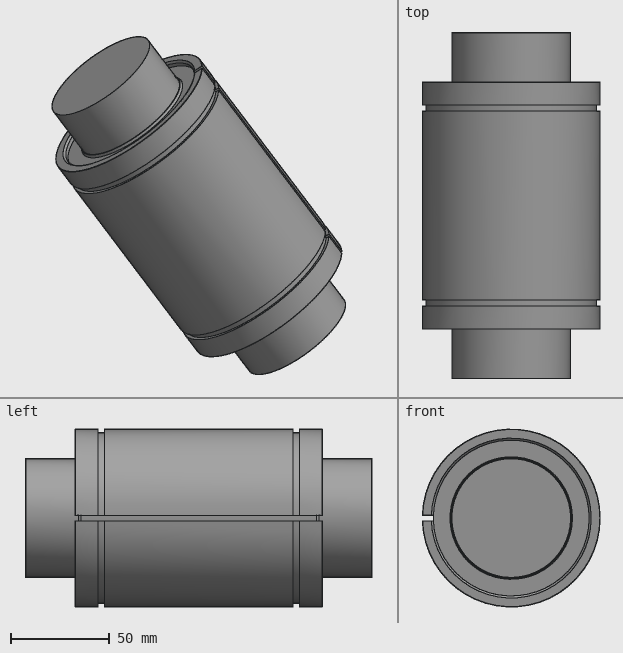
import cadquery as cq

shaft_length = 175
shaft_radius = 60.0 / 2

sleeve_length = 125.0
sleeve_radius = 90.0 / 2
sleeve_chamfer = 0.2
bore_radius = 39.4
mouth_chamfer = 1.0

groove_radius = 86.5 / 2
groove_width = 3.2
groove_span = 101.7

slit_width = 2.8

seal_depth = 3.0
lip_base_radius = 31.0
lip_tip_radius = 30.5
lip_height = 1.4


def revolve_mirrored(half_outline):
    """Turn about Y an outline given as (radius, y) points from the +Y end; the -Y half mirrors it."""
    other_half = [(radius, -y) for radius, y in reversed(half_outline)]
    outline = cq.Workplane("XY").polyline(half_outline + other_half).close()
    return outline.revolve(360, (0, 0, 0), (0, 1, 0))


def make_sleeve():
    end = sleeve_length / 2
    groove_outer = groove_span / 2
    groove_inner = groove_outer - groove_width
    sleeve = revolve_mirrored([
        (bore_radius, end - mouth_chamfer),
        (bore_radius + mouth_chamfer, end),
        (sleeve_radius - sleeve_chamfer, end),
        (sleeve_radius, end - sleeve_chamfer),
        (sleeve_radius, groove_outer),
        (groove_radius, groove_outer),
        (groove_radius, groove_inner),
        (sleeve_radius, groove_inner),
    ])
    slit = (
        cq.Workplane("XY")
        .box(sleeve_radius, sleeve_length, slit_width)
        .translate((-sleeve_radius, 0, 0))
    )
    return sleeve.cut(slit)


def make_core():
    """Shaft and seal together, as one turned body."""
    shaft_end = shaft_length / 2
    seal_face = sleeve_length / 2 - seal_depth
    lip_tip = seal_face + lip_height
    return revolve_mirrored([
        (0, shaft_end),
        (shaft_radius, shaft_end),
        (shaft_radius, lip_tip),
        (lip_tip_radius, lip_tip),
        (lip_base_radius, seal_face),
        (bore_radius, seal_face),
    ])


result = make_core().union(make_sleeve())